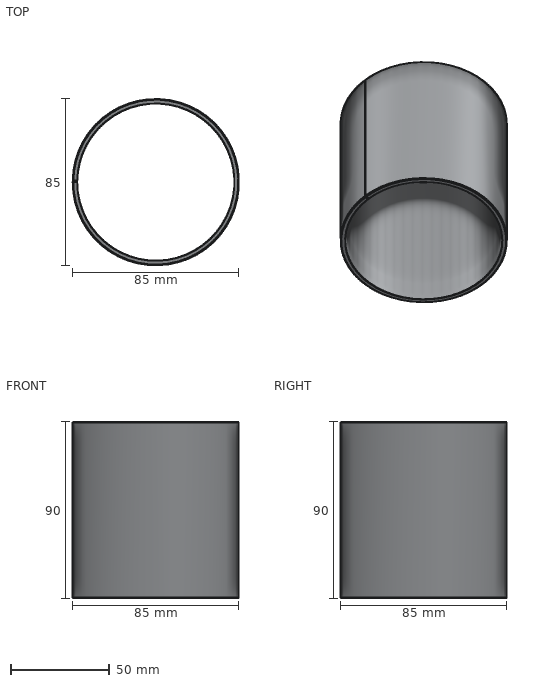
import cadquery as cq

outer_diameter = 85.0
wall_thickness = 2.5
length = 90.0

outer_chamfer = 0.5
inner_chamfer = 0.2

gap_angle = 1.0
gap_position = 180.0

outer_radius = outer_diameter / 2
inner_radius = outer_radius - wall_thickness
half_length = length / 2


def make_wall_section():
    """Wall profile in the XZ plane, chamfered at the four corners."""
    return (
        cq.Workplane("XZ")
        .moveTo(inner_radius, -half_length + inner_chamfer)
        .lineTo(inner_radius + inner_chamfer, -half_length)
        .lineTo(outer_radius - outer_chamfer, -half_length)
        .lineTo(outer_radius, -half_length + outer_chamfer)
        .lineTo(outer_radius, half_length - outer_chamfer)
        .lineTo(outer_radius - outer_chamfer, half_length)
        .lineTo(inner_radius + inner_chamfer, half_length)
        .lineTo(inner_radius, half_length - inner_chamfer)
        .close()
    )


def make_split_sleeve():
    """Sweep the wall around Z, stopping short of a full turn to leave the gap."""
    sleeve = make_wall_section().revolve(360 - gap_angle, (0, 0, 0), (0, 1, 0))
    return sleeve.rotate((0, 0, 0), (0, 0, 1), gap_position)


result = make_split_sleeve()